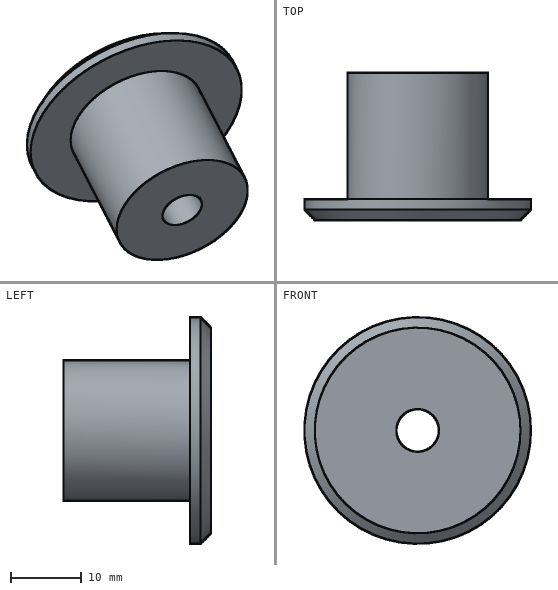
import cadquery as cq

flange_diameter = 32.2
flange_thickness = 3.0
flange_chamfer = 1.5
hub_diameter = 20.0
overall_length = 20.95
bore_diameter = 6.0


def cylinder_along_y(diameter, length):
    """Solid cylinder on the Y axis, from the flange face at Y = 0 toward +Y."""
    return cq.Workplane("XZ").circle(diameter / 2).extrude(-length)


def make_flange():
    """Round flange with its outer face edge (at Y = 0) chamfered."""
    flange = cylinder_along_y(flange_diameter, flange_thickness)
    return flange.faces("<Y").edges().chamfer(flange_chamfer)


hub = cylinder_along_y(hub_diameter, overall_length)
bore = cylinder_along_y(bore_diameter, overall_length)

result = make_flange().union(hub).cut(bore)